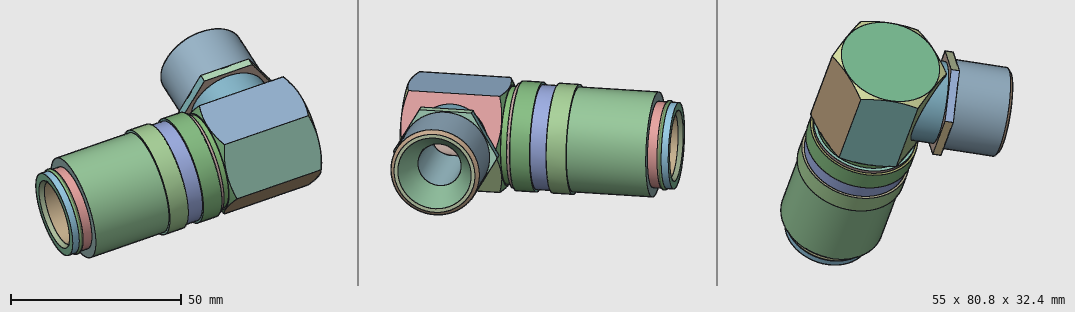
import cadquery as cq
import math


block_flats = 30.0
block_corner_radius = block_flats / math.sqrt(3)
block_back = 14.8
block_front = -15.35
block_chamfer_angle = 30
block_face_radius = 14.9

neck_radius = 14.5
neck_front = -17.3
sleeve_radius = 15.5
sleeve_front = -59.0
collar_radius = 16.2
collar_length = 6.0
collar_backs = (-18.3, -29.25)
spigot_radius = 12.8
spigot_front = -65.2
ring_center_y = -62.45
ring_section_radius = 0.65
ring_outer_radius = 13.25

bore_mouth_radius = 10.5
bore_seat_radius = 9.7
bore_taper_length = 1.4
bore_seat_depth = 36.35
passage_radius = 7.0
passage_back = 8.1

branch_neck_radius = 12.2
branch_end = -37.65
branch_radius = 13.25
branch_chamfer_length = 1.0
branch_chamfer_height = 1.1
nut_flats = 27.0
nut_inner = -18.2
nut_outer = -20.7
cone_mouth_radius = 11.0
branch_bore_radius = 6.5
cone_half_angle = 30


def cylinder_y(radius, back, front):
    """Cylinder about Y from back toward -Y; XZ extrudes toward -Y."""
    return cq.Workplane("XZ", origin=(0, back, 0)).circle(radius).extrude(back - front)


def cylinder_x(radius, start, end):
    return cq.Workplane("YZ", origin=(start, 0, 0)).circle(radius).extrude(end - start)


def revolve_y(profile):
    """Revolve (radius, y) points about the Y axis."""
    return cq.Workplane("XY").polyline(profile).close().revolve(360, (0, 0, 0), (0, 1, 0))


def revolve_x(profile):
    """Revolve (x, radius) points about the X axis."""
    return cq.Workplane("XY").polyline(profile).close().revolve(360, (0, 0, 0), (1, 0, 0))


def make_block():
    hexagon = (
        cq.Workplane("XZ", origin=(0, block_back, 0))
        .polygon(6, 2 * block_corner_radius)
        .extrude(block_back - block_front)
    )
    drop = (block_corner_radius - block_face_radius) * math.tan(math.radians(block_chamfer_angle))
    chamfer_envelope = revolve_y([
        (0, block_back),
        (block_face_radius, block_back),
        (block_corner_radius, block_back - drop),
        (block_corner_radius, block_front + drop),
        (block_face_radius, block_front),
        (0, block_front),
    ])
    return hexagon.intersect(chamfer_envelope)


def make_sleeve():
    sleeve = cylinder_y(neck_radius, block_front, neck_front)
    sleeve = sleeve.union(cylinder_y(sleeve_radius, neck_front, sleeve_front))
    for back in collar_backs:
        sleeve = sleeve.union(cylinder_y(collar_radius, back, back - collar_length))
    sleeve = sleeve.union(cylinder_y(spigot_radius, sleeve_front, spigot_front))
    ring = (
        cq.Workplane("XY")
        .center(ring_outer_radius - ring_section_radius, ring_center_y)
        .circle(ring_section_radius)
        .revolve(360, (ring_section_radius - ring_outer_radius, 0, 0),
                 (ring_section_radius - ring_outer_radius, 1, 0))
    )
    return sleeve.union(ring)


def make_branch():
    branch = cylinder_x(branch_neck_radius, nut_inner, 0)
    barrel = revolve_x([
        (nut_outer, 0),
        (nut_outer, branch_radius),
        (branch_end + branch_chamfer_length, branch_radius),
        (branch_end, branch_radius - branch_chamfer_height),
        (branch_end, 0),
    ])
    nut = (
        cq.Workplane("YZ", origin=(nut_outer, 0, 0))
        .polygon(6, 2 * nut_flats / math.sqrt(3))
        .extrude(nut_inner - nut_outer)
    )
    return branch.union(nut).union(barrel)


def make_sleeve_bore():
    taper_end = spigot_front + bore_taper_length
    seat = spigot_front + bore_seat_depth
    return revolve_y([
        (0, spigot_front),
        (bore_mouth_radius, spigot_front),
        (bore_seat_radius, taper_end),
        (bore_seat_radius, seat),
        (passage_radius, seat),
        (passage_radius, passage_back),
        (0, passage_back),
    ])


def make_branch_bore():
    cone_depth = (cone_mouth_radius - branch_bore_radius) / math.tan(math.radians(cone_half_angle))
    return revolve_x([
        (branch_end, 0),
        (branch_end, cone_mouth_radius),
        (branch_end + cone_depth, branch_bore_radius),
        (0, branch_bore_radius),
        (0, 0),
    ])


body = make_block().union(make_sleeve()).union(make_branch())
result = body.cut(make_sleeve_bore()).cut(make_branch_bore())